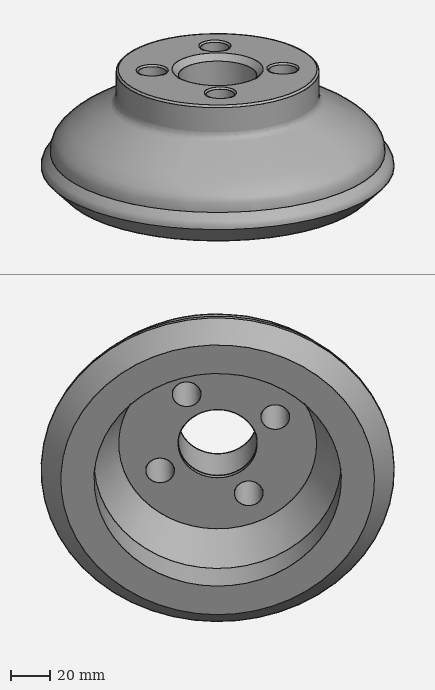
import cadquery as cq
import math

total_height = 63.0
hub_diameter = 103.5
hub_edge_chamfer = 1.0
hub_bottom_height = 36.0
hub_root_fillet = 4.5

joint_height = 17.6
joint_diameter = 170.5
hub_root_height = 45.7
flank_bend = (74.7, 33.1)
shoulder = (82.0, 26.8)
flank_slope = 31.0

bore_diameter = 40.0
bore_chamfer = 3.2
relief_diameter = 40.3
relief_height = 2.2

bolt_hole_diameter = 14.5
bolt_hole_chamfer = 0.9
bolt_spacing = 47.1

rim_diameter = 179.9
rim_bottom_diameter = 159.7
rim_inner_diameter = 126.0
rim_bevel_height = 10.0
rim_slope = (88.9, 13.7)

ceiling_diameter = 100.7

hub_radius = hub_diameter / 2
joint_radius = joint_diameter / 2
rim_inner_radius = rim_inner_diameter / 2


def make_core_blank():
    """Revolve the hub and smooth bell flank, with the hollow below."""
    slope = math.radians(flank_slope)
    flank_direction = (math.cos(slope), -math.sin(slope))
    straight_down = (0, -1)
    hub_root = (hub_radius, hub_root_height)
    flank = [flank_bend, shoulder, (joint_radius, joint_height)]

    blank = (
        cq.Workplane("XZ")
        .moveTo(0, total_height)
        .lineTo(hub_radius, total_height)
        .lineTo(*hub_root)
        .spline(flank, tangents=[flank_direction, straight_down], includeCurrent=True)
        .lineTo(rim_inner_radius, joint_height)
        .lineTo(ceiling_diameter / 2, hub_bottom_height)
        .lineTo(0, hub_bottom_height)
        .close()
        .revolve(360, (0, 0, 0), (0, 1, 0))
    )
    root_edge = cq.selectors.BoxSelector(
        (-hub_radius, -hub_radius, hub_root_height - 0.2),
        (hub_radius, hub_radius, hub_root_height + 0.2),
    )
    blank = blank.edges(root_edge).fillet(hub_root_fillet)
    return blank.faces(">Z").edges().chamfer(hub_edge_chamfer)


def chamfered_hole(diameter, chamfer):
    """Cutter through the hub, widening at 45 degrees to the hub's top face."""
    radius = diameter / 2
    return (
        cq.Workplane("XZ")
        .lineTo(radius, 0)
        .lineTo(radius, total_height - chamfer)
        .lineTo(radius + chamfer, total_height)
        .lineTo(0, total_height)
        .close()
        .revolve(360, (0, 0, 0), (0, 1, 0))
    )


def make_core():
    core = make_core_blank().cut(chamfered_hole(bore_diameter, bore_chamfer))
    relief = (
        cq.Workplane("XY", origin=(0, 0, hub_bottom_height))
        .circle(relief_diameter / 2)
        .extrude(relief_height)
    )
    core = core.cut(relief)

    bolt_hole = chamfered_hole(bolt_hole_diameter, bolt_hole_chamfer)
    for side_x in (-1, 1):
        for side_y in (-1, 1):
            position = (side_x * bolt_spacing / 2, side_y * bolt_spacing / 2, 0)
            core = core.cut(bolt_hole.translate(position))
    return core


def make_rim():
    """Ring under the core with a beveled, bluntly rounded outer edge."""
    rim_radius = rim_diameter / 2
    straight_up = (0, 1)
    inward_slope = (-1, 1)
    tip_curve = [rim_slope, (joint_radius, joint_height)]
    return (
        cq.Workplane("XZ")
        .moveTo(rim_inner_radius, 0)
        .lineTo(rim_bottom_diameter / 2, 0)
        .lineTo(rim_radius, rim_bevel_height)
        .spline(tip_curve, tangents=[straight_up, inward_slope], includeCurrent=True)
        .lineTo(rim_inner_radius, joint_height)
        .close()
        .revolve(360, (0, 0, 0), (0, 1, 0))
    )


core = make_core()
rim = make_rim()
result = cq.Compound.makeCompound([core.val(), rim.val()])